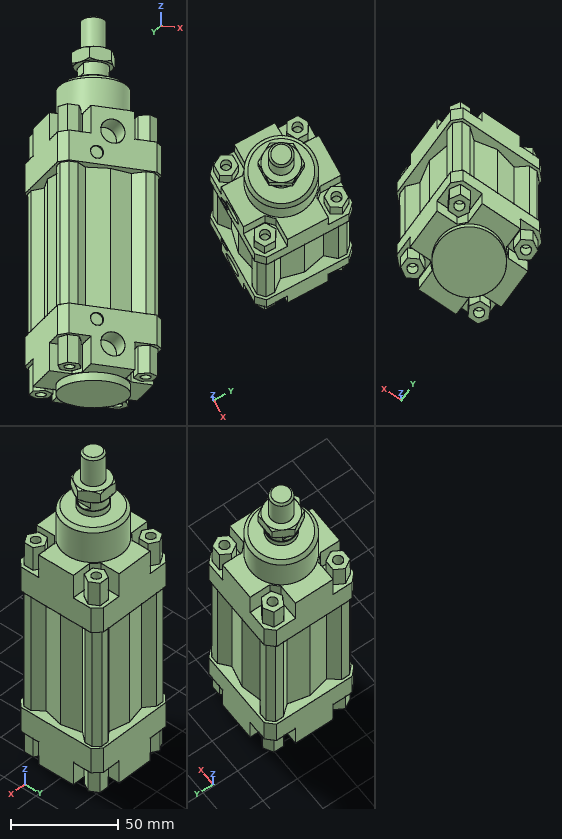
import cadquery as cq
import math

total_length = 188.0
rear_spigot_length = 4.1
cap_length = 29.0
tube_length = 71.8
neck_length = 20.1

cap_width = 52.0
cap_corner_chamfer = 4.1
recess_depth = 14.0
recess_inner_edge = 10.9
recess_inner_chamfer = 3.8
neck_diameter = 35.0
neck_chamfer = 1.9

tie_nut_offset = 19.0
tie_nut_flats = 10.0
tie_hole_diameter = 5.0
tie_hole_depth = 9.4
drill_tip_angle = 118.0

port_diameter = 12.0
port_depth = 11.3
port_from_cap_end = 11.5
screw_diameter = 6.4
screw_depth = 1.0
screw_offset = 7.9
screw_from_tube = 6.0

post_face = 24.6
post_chamfer = 3.2
post_inner_edge = 17.0
valley_half_width = 11.5
valley_face = 20.1
ridge_face = 22.7

collar_diameter = 16.2
collar_length = 3.4
wrench_diameter = 15.5
wrench_flats = 13.0
thread_diameter = 12.0
thread_length = 24.0
thread_chamfer = 1.1

nut_flats = 19.0
nut_height = 7.0
nut_chamfer_angle = 30.0

rear_cap_end = rear_spigot_length
tube_bottom = rear_cap_end + cap_length
tube_top = tube_bottom + tube_length
front_cap_end = tube_top + cap_length
neck_top = front_cap_end + neck_length
collar_top = neck_top + collar_length
thread_bottom = total_length - thread_length

CORNER_ANGLES = (0, 90, 180, 270)


def hex_corner_diameter(across_flats):
    return across_flats / math.cos(math.radians(30))


def cap_block():
    """Chamfered square block with a recess cut into each corner of its top end."""
    block = (
        cq.Workplane("XY")
        .rect(cap_width, cap_width)
        .extrude(cap_length)
        .edges("|Z")
        .chamfer(cap_corner_chamfer)
    )
    outer = cap_width
    inner = recess_inner_edge
    inner_chamfered = inner + recess_inner_chamfer
    recess = (
        cq.Workplane("XY", origin=(0, 0, cap_length - recess_depth))
        .polyline([
            (inner_chamfered, inner),
            (outer, inner),
            (outer, outer),
            (inner, outer),
            (inner, inner_chamfered),
        ])
        .close()
        .extrude(recess_depth)
    )
    for angle in CORNER_ANGLES:
        block = block.cut(recess.rotate((0, 0, 0), (0, 0, 1), angle))
    return block


def tie_nut():
    """Hexagonal nut in the +X +Y recess, with a drilled hole in its end."""
    nut = (
        cq.Workplane("XY", origin=(tie_nut_offset, tie_nut_offset, cap_length - recess_depth))
        .polygon(6, hex_corner_diameter(tie_nut_flats))
        .extrude(recess_depth)
    )
    radius = tie_hole_diameter / 2
    tip_length = radius / math.tan(math.radians(drill_tip_angle / 2))
    hole_bottom = cap_length - tie_hole_depth
    hole = (
        cq.Workplane("XZ")
        .polyline([
            (0, hole_bottom - tip_length),
            (radius, hole_bottom),
            (radius, cap_length),
            (0, cap_length),
        ])
        .close()
        .revolve(360, (0, 0, 0), (0, 1, 0))
        .translate((tie_nut_offset, tie_nut_offset, 0))
    )
    return nut.cut(hole)


def side_hole(x, z, diameter, depth):
    """Cutter for a blind hole bored in +Y from the -Y face of a cap."""
    return (
        cq.Workplane("XZ", origin=(x, -cap_width / 2, z))
        .circle(diameter / 2)
        .extrude(-depth)
    )


def end_cap():
    """Cap standing on z = 0, with its outer end up and no side holes."""
    cap = cap_block()
    for angle in CORNER_ANGLES:
        cap = cap.union(tie_nut().rotate((0, 0, 0), (0, 0, 1), angle))
    return cap


def tube():
    quarter = [
        (ridge_face, 0),
        (valley_face, valley_half_width),
        (post_face, post_inner_edge),
        (post_face, post_face - post_chamfer),
        (post_face - post_chamfer, post_face),
        (post_inner_edge, post_face),
        (valley_half_width, valley_face),
    ]
    outline = []
    for _ in CORNER_ANGLES:
        outline += quarter
        quarter = [(-y, x) for x, y in quarter]
    return cq.Workplane("XY", origin=(0, 0, tube_bottom)).polyline(outline).close().extrude(tube_length)


def make_housing():
    front_cap = end_cap().translate((0, 0, tube_top))
    rear_cap = end_cap().mirror("XY").translate((0, 0, tube_bottom))
    neck = (
        cq.Workplane("XY", origin=(0, 0, front_cap_end))
        .circle(neck_diameter / 2)
        .extrude(neck_length)
        .faces(">Z")
        .chamfer(neck_chamfer)
    )
    rear_spigot = cq.Workplane("XY").circle(neck_diameter / 2).extrude(rear_spigot_length)
    housing = tube().union(front_cap).union(rear_cap).union(neck).union(rear_spigot)

    for port_z in (rear_cap_end + port_from_cap_end, front_cap_end - port_from_cap_end):
        housing = housing.cut(side_hole(0, port_z, port_diameter, port_depth))
    for screw_z in (tube_bottom - screw_from_tube, tube_top + screw_from_tube):
        housing = housing.cut(side_hole(-screw_offset, screw_z, screw_diameter, screw_depth))
    return housing


def make_rod():
    """Collar on the neck face, wrench section with two flats, then the threaded end."""
    rod = (
        cq.Workplane("XY", origin=(0, 0, neck_top))
        .circle(collar_diameter / 2)
        .extrude(collar_length)
        .faces(">Z")
        .workplane()
        .circle(wrench_diameter / 2)
        .extrude(thread_bottom - collar_top)
    )
    thread = (
        cq.Workplane("XY", origin=(0, 0, thread_bottom))
        .circle(thread_diameter / 2)
        .extrude(thread_length)
        .faces(">Z")
        .chamfer(thread_chamfer)
    )
    rod = rod.union(thread)

    flat_x = wrench_flats / 2
    outer_x = wrench_diameter / 2
    flat_bottom = collar_top + outer_x - flat_x
    flat_cut = (
        cq.Workplane("XZ")
        .polyline([
            (flat_x, thread_bottom),
            (flat_x, flat_bottom),
            (outer_x, collar_top),
            (outer_x, thread_bottom),
        ])
        .close()
        .extrude(outer_x, both=True)
    )
    return rod.cut(flat_cut).cut(flat_cut.mirror("YZ"))


def make_rod_nut():
    """Hexagon nut whose corners are trimmed by a cone at both ends."""
    corner_radius = hex_corner_diameter(nut_flats) / 2
    face_radius = nut_flats / 2
    chamfer_height = (corner_radius - face_radius) * math.tan(math.radians(nut_chamfer_angle))
    trim = (
        cq.Workplane("XZ")
        .polyline([
            (0, 0),
            (face_radius, 0),
            (corner_radius, chamfer_height),
            (corner_radius, nut_height - chamfer_height),
            (face_radius, nut_height),
            (0, nut_height),
        ])
        .close()
        .revolve(360, (0, 0, 0), (0, 1, 0))
    )
    nut = cq.Workplane("XY").polygon(6, 2 * corner_radius).extrude(nut_height).intersect(trim)
    bore = cq.Workplane("XY").circle(thread_diameter / 2).extrude(nut_height)
    return nut.cut(bore).translate((0, 0, thread_bottom))


housing = make_housing()
rod = make_rod()
rod_nut = make_rod_nut()

result = cq.Compound.makeCompound([housing.val(), rod.val(), rod_nut.val()])